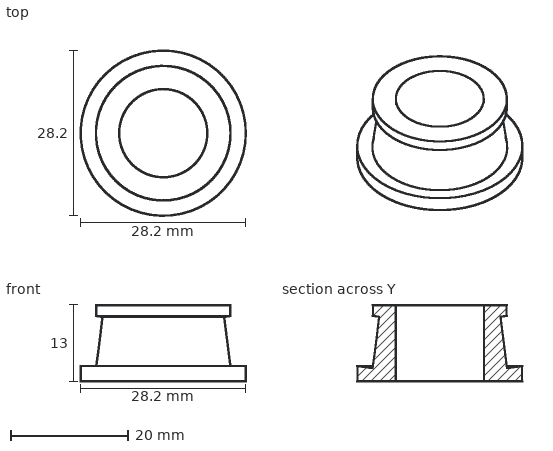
import cadquery as cq

base_diameter = 28.2
rim_diameter = 22.9
neck_top_diameter = 20.8
neck_foot_diameter = 23.0
bore_diameter = 15.0

total_height = 13.0
base_thickness = 2.65
base_top_drop = 0.37
rim_thickness = 1.9
rim_underside_drop = 0.15

base_radius = base_diameter / 2
rim_radius = rim_diameter / 2
neck_top_radius = neck_top_diameter / 2
neck_foot_radius = neck_foot_diameter / 2
bore_radius = bore_diameter / 2
neck_foot = base_thickness - base_top_drop
rim_bottom = total_height - rim_thickness
neck_top = rim_bottom - rim_underside_drop

half_section = (
    cq.Workplane("XZ")
    .moveTo(bore_radius, 0)
    .lineTo(base_radius, 0)
    .lineTo(base_radius, base_thickness)
    .lineTo(neck_foot_radius, neck_foot)
    .lineTo(neck_top_radius, neck_top)
    .lineTo(rim_radius, rim_bottom)
    .lineTo(rim_radius, total_height)
    .lineTo(bore_radius, total_height)
    .close()
)

result = half_section.revolve(360, (0, 0, 0), (0, 1, 0))